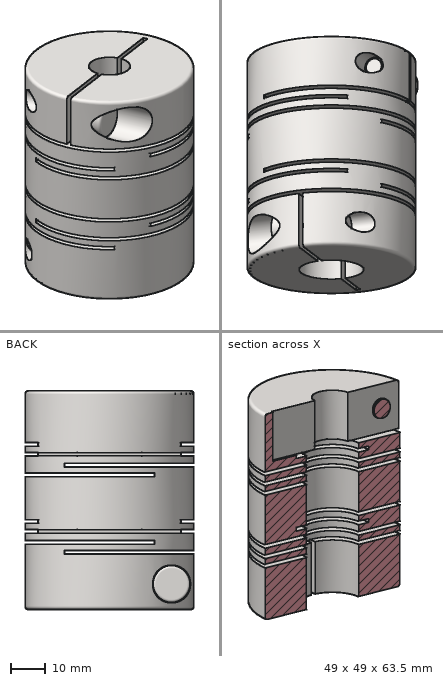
import cadquery as cq


outer_diameter = 49.0
length = 63.5
edge_fillet = 1.0
outer_radius = outer_diameter / 2

upper_bore_diameter = 12.0
lower_bore_diameter = 18.7

slot_thickness = 1.0
slot_reach = 13.0
slot_pair_pitch = 2.87
upper_hub_slot_z = length - 15.55
upper_inner_slot_z = length - 21.55
lower_hub_slot_z = 16.65
lower_inner_slot_z = 22.7

upper_hub_length = length - upper_hub_slot_z - slot_thickness / 2
lower_hub_length = lower_hub_slot_z - slot_thickness / 2

slit_width = 1.3
hinge_wall = 3.0

screw_offset = 18.0
screw_inset = 7.45
screw_diameter = 6.0
shank_length = 16.25
screw_tip_chamfer = 0.6
counterbore_diameter = 11.0
head_diameter = 10.7
head_seat = 3.9
head_height = 6.0
head_fillet = 0.8


def make_body():
    """Cylinder with rounded end edges and a bore that steps at the uppermost slot."""
    body = cq.Workplane("XY").circle(outer_radius).extrude(length)
    body = body.faces("<Z or >Z").edges().fillet(edge_fillet)
    lower_bore = cq.Workplane("XY").circle(lower_bore_diameter / 2).extrude(upper_hub_slot_z)
    upper_bore = cq.Workplane("XY").circle(upper_bore_diameter / 2).extrude(length)
    return body.cut(lower_bore).cut(upper_bore)


def make_slot(z, open_side):
    """Flat slot centred at height z, open toward "+X", "-X", "+Y" or "-Y"."""
    run = outer_radius + slot_reach
    shift = (outer_radius - slot_reach) / 2
    if open_side[0] == "-":
        shift = -shift
    if open_side[1] == "X":
        return cq.Workplane("XY").box(run, outer_diameter, slot_thickness).translate((shift, 0, z))
    return cq.Workplane("XY").box(outer_diameter, run, slot_thickness).translate((0, shift, z))


def make_slit(depth):
    """Slit of an upper clamp hub, open toward -Y and cut down from the upper face."""
    run = outer_diameter - hinge_wall
    return (
        cq.Workplane("XY")
        .box(slit_width, run, depth, centered=(True, False, False))
        .translate((0, -outer_radius, length - depth))
    )


def along_screw(diameter, start, end):
    """Cylinder on the upper clamp screw axis between two X positions."""
    return (
        cq.Workplane("YZ", origin=(start, -screw_offset, length - screw_inset))
        .circle(diameter / 2)
        .extrude(end - start)
    )


def make_screw_hole():
    """Through hole along X with a counterbore for the head on the +X side."""
    hole = along_screw(screw_diameter, -outer_radius, outer_radius)
    return hole.union(along_screw(counterbore_diameter, head_seat, outer_radius))


def make_screw():
    """Plain clamp screw with a chamfered tip and a rounded head."""
    shank = along_screw(screw_diameter, head_seat - shank_length, head_seat)
    shank = shank.faces("<X").chamfer(screw_tip_chamfer)
    head = along_screw(head_diameter, head_seat, head_seat + head_height)
    head = head.faces(">X").fillet(head_fillet)
    return shank.union(head)


def to_lower_hub(shape):
    """Half turn about the horizontal line X = Y at mid length, from upper hub to lower hub."""
    middle = length / 2
    return shape.rotate((0, 0, middle), (1, 1, middle), 180)


result = make_body()

slots = [
    (upper_hub_slot_z, "-Y"),
    (upper_hub_slot_z - slot_pair_pitch, "+Y"),
    (upper_inner_slot_z, "-X"),
    (upper_inner_slot_z - slot_pair_pitch, "+X"),
    (lower_inner_slot_z + slot_pair_pitch, "-Y"),
    (lower_inner_slot_z, "+Y"),
    (lower_hub_slot_z + slot_pair_pitch, "+X"),
    (lower_hub_slot_z, "-X"),
]
for slot_z, side in slots:
    result = result.cut(make_slot(slot_z, side))

screw_hole = make_screw_hole()
result = result.cut(make_slit(upper_hub_length)).cut(screw_hole)
result = result.cut(to_lower_hub(make_slit(lower_hub_length))).cut(to_lower_hub(screw_hole))

screw = make_screw()
result = result.union(screw).union(to_lower_hub(screw))